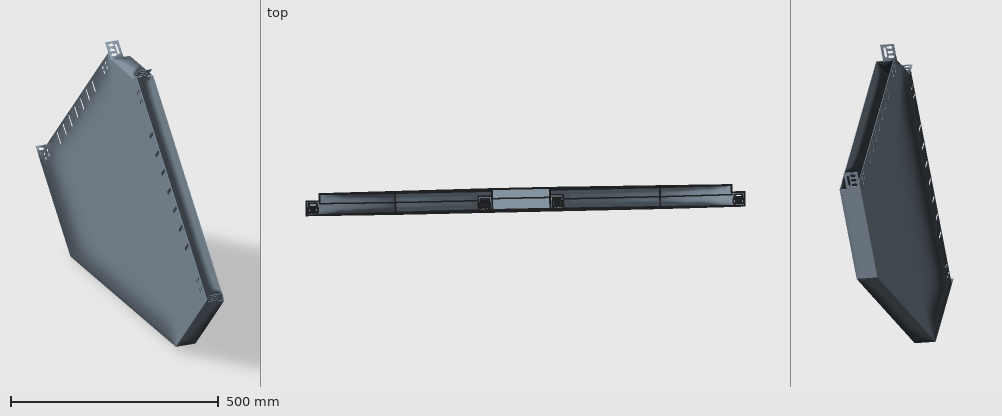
import cadquery as cq
import math


tray_width = 603.0
inner_leg = 117.0
inner_flap = 19.0
outer_flap = 268.9

depth = 51.5
sheet = 1.2
tray_wall_height = 28.0
cover_lip_height = depth - tray_wall_height
cover_setback = 18.0

tab_reach = 26.85
tab_height = 34.0
tab_length = tab_reach + cover_setback
tab_long_slot = (28.0, 6.0)
tab_long_slot_height = 25.0
tab_short_slot = (14.0, 7.5)
tab_short_slot_height = 12.5
tab_short_slot_pitch = 13.0
tab_slots_from_tip = 22.0

slot_count = 7
slot_pitch = 50.0
slot_length = 32.0
slot_width = 8.0
slot_edge_gap = 5.0
first_slot = 151.0
hole_diameter = 9.5
hole_spacing = 25.0
hole_row_gap = 12.5
hole_first_row = 11.5
hole_group_inset = 50.0

plane_roll = 1.5
yaw = 1.25
lean_back = 0.4

leg_angle = 45.0
cut_length = 3 * sheet
tab_tip = inner_leg + tab_reach


def leg_point(along, across):
    """Point of the right-hand leg: along the leg from the inner corner, across from the inner wall."""
    lean = math.radians(leg_angle)
    x = along * math.sin(lean) + across * math.cos(lean)
    y = along * math.cos(lean) - across * math.sin(lean)
    return (x, y)


def mirrored(point):
    return (-point[0], point[1])


def bend_outline(setback, inset):
    """Outline of the bend, cut back from the open ends and shrunk inside its walls."""
    end = inner_leg - setback
    miter = inset * math.tan(math.radians(leg_angle / 2))
    right = [
        leg_point(inner_leg - inner_flap - miter, inset),
        leg_point(end, inset),
        leg_point(end, tray_width - inset),
        leg_point(inner_leg - outer_flap + miter, tray_width - inset),
    ]
    left = [mirrored(point) for point in reversed(right)]
    return right + left


def slab(outline, bottom, top):
    return cq.Workplane("XY").workplane(offset=bottom).polyline(outline).close().extrude(top - bottom)


def bent_sheet(setback, bottom, top, plate_bottom):
    """A plate with walls along every side but the two open ends."""
    body = slab(bend_outline(setback, 0), bottom, top)
    cavity = slab(bend_outline(setback - sheet, sheet), bottom, top)
    plate = slab(bend_outline(setback, 0), plate_bottom, plate_bottom + sheet)
    return body.cut(cavity).union(plate)


def on_both_legs(shape):
    """A shape placed on the right-hand leg, with its mirror image on the left-hand leg."""
    return shape.union(shape.mirror("YZ"))


def leg_frame(shape):
    """Turn a shape drawn with X across the leg and Y along it into the right-hand leg."""
    return shape.rotate((0, 0, 0), (0, 0, 1), -leg_angle)


def connector_tab(wall_face):
    """Tab of the right-hand leg; wall_face is its side nearer the inner wall line."""
    tab = cq.Workplane("XY").box(sheet, tab_length, tab_height, centered=False)
    return tab.translate((wall_face, tab_tip - tab_length, depth - tab_height))


def tab_openings(wall_face):
    """Cutters for one tab: a slot along it and a row of short slots beside the tray floor."""
    short_slots = [(step * tab_short_slot_pitch, -tab_short_slot_height) for step in (-1, 0, 1)]
    return (
        cq.Workplane("YZ", origin=(wall_face - sheet, tab_tip - tab_slots_from_tip, depth))
        .pushPoints([(0, -tab_long_slot_height)])
        .slot2D(*tab_long_slot)
        .pushPoints(short_slots)
        .slot2D(*tab_short_slot, 90)
        .extrude(cut_length)
    )


def floor_openings():
    slots = [
        (first_slot + i * slot_pitch, inner_leg - slot_edge_gap - slot_length / 2)
        for i in range(slot_count)
    ]
    holes = [
        (group + side * hole_spacing / 2, inner_leg - hole_first_row - row * hole_row_gap)
        for group in (hole_group_inset, tray_width - hole_group_inset)
        for side in (-1, 1)
        for row in (0, 1)
    ]
    plane = cq.Workplane("XY").workplane(offset=depth - 2 * sheet)
    cutters = plane.pushPoints(slots).slot2D(slot_length, slot_width, 90).extrude(cut_length)
    cutters = cutters.union(plane.pushPoints(holes).circle(hole_diameter / 2).extrude(cut_length))
    return on_both_legs(leg_frame(cutters))


def make_tray():
    tray = bent_sheet(0, cover_lip_height, depth, depth - sheet)
    for wall_face in (0, tray_width - sheet):
        tray = tray.union(on_both_legs(leg_frame(connector_tab(wall_face))))
        tray = tray.cut(on_both_legs(leg_frame(tab_openings(wall_face))))
    return tray.cut(floor_openings())


def make_cover():
    return bent_sheet(cover_setback, 0, cover_lip_height, 0)


def set_attitude(body):
    """Stand the assembly up with the tray floor facing -Y, then tilt it slightly."""
    body = body.rotate((0, 0, 0), (0, 0, 1), plane_roll)
    body = body.rotate((0, 0, 0), (1, 0, 0), 90 - lean_back)
    return body.rotate((0, 0, 0), (0, 0, 1), yaw)


tray = set_attitude(make_tray())
cover = set_attitude(make_cover())

result = cq.Compound.makeCompound([tray.val(), cover.val()])